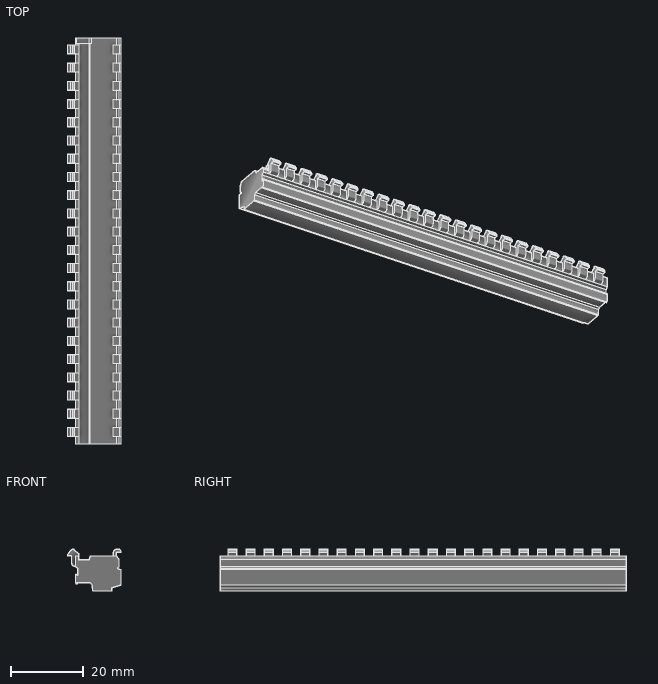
import math

import cadquery as cq

WIDTH = 14.7
LENGTH = 111.5
HEIGHT = 11.5
X_RIGHT = WIDTH / 2
X_LEFT = -WIDTH / 2
Z_TOP = HEIGHT / 2
Z_BOTTOM = -HEIGHT / 2
Y_BACK = LENGTH / 2
Y_FRONT = -LENGTH / 2

Z_DECK = 3.9
Z_GROOVE = 2.9
X_WALL_LEFT = -5.2
WALL_THICKNESS = 1.0
X_WALL_RIGHT = X_WALL_LEFT + WALL_THICKNESS
X_STEP_FOOT = -1.45
X_STEP_HEAD = -1.1

X_DECK_RIGHT = 6.15
X_SHOULDER = 6.8
Z_SHOULDER = 2.9
X_RIGHT_NOTCH = 6.5
Z_RIGHT_NOTCH_TOP = 0.95
Z_RIGHT_NOTCH_ROOF = 0.6
Z_RIGHT_NOTCH_FLOOR = 0.35
Z_RIGHT_NOTCH_EDGE = 0.15
Z_RIGHT_FACE_BOTTOM = -4.15
Z_RIGHT_SLOPE_BOTTOM = -4.9

X_SIDE_GROOVE = -4.55
Z_WALL_BOTTOM = 1.0
Z_SIDE_GROOVE_TOP = 0.4
Z_LIP_INNER = -1.5
Z_LIP_TIP = -1.1
Z_LIP_OUTER = -1.5
LIP_BEVEL = 0.15
X_FOOT_RIGHT = -4.6
Z_FOOT = -3.85
Z_UNDERSIDE = -3.5
FOOT_BEVEL_WIDTH = 0.2
FOOT_BEVEL_HEIGHT = 0.65

X_BLOCK_LEFT = -0.5
X_BLOCK_RIGHT = 4.85
BLOCK_DRAFT = 0.15
BLOCK_EDGE_BEVEL = 0.2
Z_BLOCK_CORNER = -3.95
X_BLOCK_CORNER = -1.15

NOTCH_LENGTH = 1.5
Z_NOTCH = 2.75
NOTCH_LIP_WIDTH = 0.35
NOTCH_LIP_DROP = 0.75
NOTCH_STEP_SHIFT = 0.35

CONTACT_COUNT = 22
CONTACT_PITCH = 5.0
CONTACT_WIDTH = 2.5
CONTACT_ROW_Y = 0.1

X_STEM = -6.25
Z_STEM_BEND = 2.05
STEM_BEND_MIDDLE = (-5.95, 1.3)
Z_HEAD_SIDE = 4.25
HEAD_SHOULDER = (-6.5, 5.4)
X_HEAD_TOP_LEFT = -6.0
X_HEAD_TOP_RIGHT = -5.55
HEAD_NICK = (-5.4, 5.4)
Z_HEAD_RIGHT = 4.5

X_HOOK_LEFT = 5.2
HOOK_RADIUS = 1.05
HOOK_THICKNESS = 0.9
HOOK_TIP_CHAMFER = 0.45


def extrude_y(outline, y_start, y_end):
    """Extrude a closed XZ outline between two Y positions."""
    return outline.extrude(y_start - y_end).translate((0, y_start, 0))


def extrude_contact(outline, y_centre):
    """Extrude a contact outline to the contact width about y_centre."""
    half_width = CONTACT_WIDTH / 2
    return extrude_y(outline, y_centre - half_width, y_centre + half_width)


def make_housing():
    """Long housing with one constant cross-section."""
    outline = (
        cq.Workplane("XZ")
        .moveTo(X_WALL_LEFT, Z_DECK)
        .lineTo(X_WALL_RIGHT, Z_DECK)
        .lineTo(X_WALL_RIGHT, Z_GROOVE)
        .lineTo(X_STEP_FOOT, Z_GROOVE)
        .lineTo(X_STEP_HEAD, Z_DECK)
        .lineTo(X_DECK_RIGHT, Z_DECK)
        .lineTo(X_SHOULDER, Z_SHOULDER)
        .lineTo(X_SHOULDER, Z_RIGHT_NOTCH_TOP)
        .lineTo(X_RIGHT_NOTCH, Z_RIGHT_NOTCH_ROOF)
        .lineTo(X_RIGHT_NOTCH, Z_RIGHT_NOTCH_FLOOR)
        .lineTo(X_RIGHT, Z_RIGHT_NOTCH_EDGE)
        .lineTo(X_RIGHT, Z_RIGHT_FACE_BOTTOM)
        .lineTo(X_BLOCK_RIGHT, Z_RIGHT_SLOPE_BOTTOM)
        .lineTo(X_BLOCK_RIGHT, Z_BOTTOM)
        .lineTo(X_BLOCK_LEFT + BLOCK_EDGE_BEVEL, Z_BOTTOM)
        .lineTo(X_BLOCK_LEFT, Z_BOTTOM + BLOCK_EDGE_BEVEL)
        .lineTo(X_BLOCK_LEFT - BLOCK_DRAFT, Z_BLOCK_CORNER)
        .lineTo(X_BLOCK_CORNER, Z_UNDERSIDE)
        .lineTo(X_FOOT_RIGHT, Z_UNDERSIDE)
        .lineTo(X_FOOT_RIGHT, Z_FOOT)
        .lineTo(X_WALL_LEFT + FOOT_BEVEL_WIDTH, Z_FOOT)
        .lineTo(X_WALL_LEFT, Z_FOOT + FOOT_BEVEL_HEIGHT)
        .lineTo(X_WALL_LEFT, Z_LIP_OUTER)
        .lineTo(X_WALL_LEFT + LIP_BEVEL, Z_LIP_TIP)
        .lineTo(X_SIDE_GROOVE, Z_LIP_INNER)
        .lineTo(X_SIDE_GROOVE, Z_SIDE_GROOVE_TOP)
        .lineTo(X_WALL_LEFT, Z_WALL_BOTTOM)
        .close()
    )
    return extrude_y(outline, Y_FRONT, Y_BACK)


def make_back_notch():
    """Tool that drops the back end of the left wall just below the groove floor."""
    outline = (
        cq.Workplane("XZ")
        .moveTo(X_WALL_LEFT, Z_NOTCH - NOTCH_LIP_DROP)
        .lineTo(X_WALL_LEFT + NOTCH_LIP_WIDTH, Z_NOTCH)
        .lineTo(X_STEP_FOOT, Z_NOTCH)
        .lineTo(X_STEP_HEAD + NOTCH_STEP_SHIFT, Z_DECK)
        .lineTo(X_WALL_LEFT, Z_DECK)
        .close()
    )
    return extrude_y(outline, Y_BACK - NOTCH_LENGTH, Y_BACK)


def make_left_contact(y_centre):
    """Contact with an arrow-shaped head over the left wall."""
    outline = (
        cq.Workplane("XZ")
        .moveTo(X_WALL_LEFT, Z_WALL_BOTTOM)
        .threePointArc(STEM_BEND_MIDDLE, (X_STEM, Z_STEM_BEND))
        .lineTo(X_STEM, Z_DECK)
        .lineTo(X_LEFT, Z_DECK)
        .lineTo(X_LEFT, Z_HEAD_SIDE)
        .lineTo(*HEAD_SHOULDER)
        .lineTo(X_HEAD_TOP_LEFT, Z_TOP)
        .lineTo(X_HEAD_TOP_RIGHT, Z_TOP)
        .lineTo(*HEAD_NICK)
        .lineTo(X_WALL_RIGHT, Z_HEAD_RIGHT)
        .lineTo(X_WALL_RIGHT, Z_DECK)
        .lineTo(X_WALL_LEFT, Z_DECK)
        .close()
    )
    return extrude_contact(outline, y_centre)


def make_right_contact(y_centre):
    """Contact that rises from the deck and bends over to the right."""
    bend_x = X_HOOK_LEFT + HOOK_RADIUS
    bend_z = Z_TOP - HOOK_RADIUS
    diagonal = HOOK_RADIUS * math.sqrt(0.5)
    x_inner = X_HOOK_LEFT + HOOK_THICKNESS
    z_inner = Z_TOP - HOOK_THICKNESS
    outline = (
        cq.Workplane("XZ")
        .moveTo(X_HOOK_LEFT, Z_DECK)
        .lineTo(X_HOOK_LEFT, bend_z)
        .threePointArc((bend_x - diagonal, bend_z + diagonal), (bend_x, Z_TOP))
        .lineTo(X_RIGHT - HOOK_TIP_CHAMFER, Z_TOP)
        .lineTo(X_RIGHT, Z_TOP - HOOK_TIP_CHAMFER)
        .lineTo(X_RIGHT, z_inner)
        .lineTo(bend_x, z_inner)
        .radiusArc((x_inner, bend_z), -(HOOK_RADIUS - HOOK_THICKNESS))
        .lineTo(x_inner, Z_DECK)
        .close()
    )
    return extrude_contact(outline, y_centre)


result = make_housing().cut(make_back_notch())
first_contact_y = CONTACT_ROW_Y - CONTACT_PITCH * (CONTACT_COUNT - 1) / 2
for index in range(CONTACT_COUNT):
    contact_y = first_contact_y + index * CONTACT_PITCH
    result = result.union(make_left_contact(contact_y))
    result = result.union(make_right_contact(contact_y))